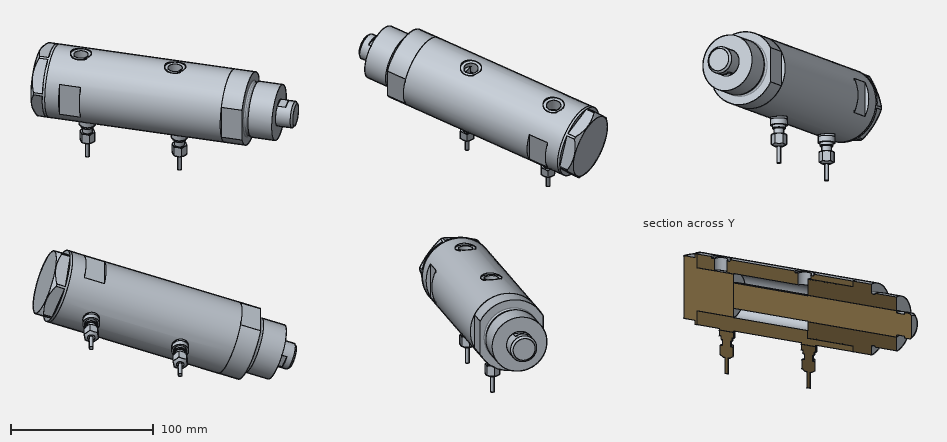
import cadquery as cq
import math


LENGTH = 186.0
BODY_RADIUS = 26.0
FLAT_SIZE = 46.0
FLAT_LENGTH = 15.0

CAP_FACE_RADIUS = 22.7
CAP_CHAMFER_LENGTH = 2.8
CAP_HEX_LENGTH = 9.1
CAP_LENGTH = 11.0
CAP_HEX_TURN = -7.5
CAP_NOSE_END = 41.0

BARREL_END = 138.2
BORE_RADIUS = 16.0
HEAD_SEAT_START = 101.4
HEAD_SEAT_RADIUS = 21.5
BARREL_FLAT_START = 21.0

PORT_POSITIONS = (30.3, 98.5)
PORT_RADIUS = 5.0
SPOTFACE_RADIUS = 7.5
SPOTFACE_DEPTH = 1.3

SENSOR_POSITIONS = (35.0, 101.8)
SENSOR_RADIUS = 6.0
BOSS_BOTTOM = 27.2
SENSOR_BODY_BOTTOM = 31.3
SENSOR_COLLAR_RADIUS = 4.7
SENSOR_COLLAR_BOTTOM = 33.9
SENSOR_CHAMFER = 0.5
SENSOR_NECK_RADIUS = 3.5
NUT_TOP = 37.8
NUT_SIZE = 9.5
NUT_CONE_TOP = 44.8
NUT_BOTTOM = 46.5
NUT_BOTTOM_RADIUS = 2.6
CABLE_RADIUS = 1.4
CABLE_BOTTOM = 58.2

COLLAR_RADIUS = 19.9
COLLAR_END = 174.0
RELIEF_RADIUS = 19.0
RELIEF_FILLET = 1.1
RELIEF_FLOOR = 1.1
RELIEF_RUNOUT_RADIUS = 0.7

ROD_RADIUS = 9.5
ROD_FLAT_SIZE = 16.4
ROD_FLAT_END = 180.0
ROD_CHAMFER = 1.5

HEAD_FLANGE_END = BARREL_END + FLAT_LENGTH


def cylinder_x(radius, start, end):
    """Solid cylinder about the X axis."""
    return cq.Workplane("YZ").workplane(offset=start).circle(radius).extrude(end - start)


def cylinder_z(radius, x, bottom, top):
    """Solid upright cylinder centred on y = 0."""
    return cq.Workplane("XY", origin=(x, 0, bottom)).circle(radius).extrude(top - bottom)


def hexagon_corners(across_flats):
    """Diameter through the corners of a regular hexagon."""
    return across_flats / math.cos(math.pi / 6)


def between_flats(body, size, start, end):
    """Cut two flats facing -Y and +Y, leaving `size` between them."""
    length = end - start
    for side in (-1, 1):
        cutter = cq.Workplane("XY").box(length, BODY_RADIUS, 2 * BODY_RADIUS)
        body = body.cut(cutter.translate((start + length / 2, side * (size + BODY_RADIUS) / 2, 0)))
    return body


def make_cap():
    """Hexagonal end cap with a round flange and a nose that plugs the bore."""
    blank = cylinder_x(BODY_RADIUS, 0, CAP_HEX_LENGTH)
    blank = blank.faces("<X").chamfer(CAP_CHAMFER_LENGTH, BODY_RADIUS - CAP_FACE_RADIUS)
    hexagon = (
        cq.Workplane("YZ")
        .polygon(6, hexagon_corners(FLAT_SIZE))
        .extrude(CAP_HEX_LENGTH)
        .rotate((0, 0, 0), (1, 0, 0), CAP_HEX_TURN)
    )
    flange = cylinder_x(BODY_RADIUS, CAP_HEX_LENGTH, CAP_LENGTH)
    nose = cylinder_x(BORE_RADIUS, CAP_LENGTH, CAP_NOSE_END)
    return blank.intersect(hexagon).union(flange).union(nose)


def make_barrel():
    """Tube with two wrench flats, two ports on top and two sensor bosses below."""
    barrel = cylinder_x(BODY_RADIUS, CAP_LENGTH, BARREL_END)
    barrel = between_flats(barrel, FLAT_SIZE, BARREL_FLAT_START, BARREL_FLAT_START + FLAT_LENGTH)
    for x in SENSOR_POSITIONS:
        barrel = barrel.union(cylinder_z(SENSOR_RADIUS, x, -BOSS_BOTTOM, 0))
    barrel = barrel.cut(cylinder_x(BORE_RADIUS, CAP_LENGTH, BARREL_END))
    barrel = barrel.cut(cylinder_x(HEAD_SEAT_RADIUS, HEAD_SEAT_START, BARREL_END))
    for x in PORT_POSITIONS:
        barrel = barrel.cut(cylinder_z(PORT_RADIUS, x, 0, BODY_RADIUS))
        barrel = barrel.cut(cylinder_z(SPOTFACE_RADIUS, x, BODY_RADIUS - SPOTFACE_DEPTH, BODY_RADIUS))
    return barrel


def make_head():
    """Rod guide: a nose in the barrel seat, a flange with wrench flats and a relieved collar."""
    nose = cylinder_x(HEAD_SEAT_RADIUS, HEAD_SEAT_START, BARREL_END)
    flange = cylinder_x(BODY_RADIUS, BARREL_END, HEAD_FLANGE_END)
    flange = between_flats(flange, FLAT_SIZE, BARREL_END, HEAD_FLANGE_END)

    floor_start = HEAD_FLANGE_END + RELIEF_FILLET
    floor_end = floor_start + RELIEF_FLOOR
    half_diagonal = math.sqrt(0.5)
    runout_x = floor_end + RELIEF_RUNOUT_RADIUS * half_diagonal
    runout_radius = RELIEF_RADIUS + RELIEF_RUNOUT_RADIUS * (1 - half_diagonal)
    collar_start = runout_x + COLLAR_RADIUS - runout_radius
    collar = (
        cq.Workplane("XY")
        .moveTo(HEAD_FLANGE_END, 0)
        .lineTo(HEAD_FLANGE_END, RELIEF_RADIUS + RELIEF_FILLET)
        .radiusArc((floor_start, RELIEF_RADIUS), -RELIEF_FILLET)
        .lineTo(floor_end, RELIEF_RADIUS)
        .radiusArc((runout_x, runout_radius), -RELIEF_RUNOUT_RADIUS)
        .lineTo(collar_start, COLLAR_RADIUS)
        .lineTo(COLLAR_END, COLLAR_RADIUS)
        .lineTo(COLLAR_END, 0)
        .close()
        .revolve(360, (0, 0, 0), (1, 0, 0))
    )
    head = nose.union(flange).union(collar)
    return head.cut(cylinder_x(ROD_RADIUS, HEAD_SEAT_START, COLLAR_END))


def make_rod():
    """Piston rod, chamfered at the tip, with two flats facing up and down."""
    rod = cylinder_x(ROD_RADIUS, CAP_NOSE_END, LENGTH).faces(">X").chamfer(ROD_CHAMFER)
    flat_length = ROD_FLAT_END - COLLAR_END
    for side in (-1, 1):
        cutter = cq.Workplane("XY").box(flat_length, 2 * ROD_RADIUS, ROD_RADIUS)
        height = side * (ROD_FLAT_SIZE + ROD_RADIUS) / 2
        rod = rod.cut(cutter.translate((COLLAR_END + flat_length / 2, 0, height)))
    return rod


def make_sensor(x):
    """Sensor below a boss: stepped body, hexagonal nut and cable."""
    body = cylinder_z(SENSOR_RADIUS, x, -SENSOR_BODY_BOTTOM, -BOSS_BOTTOM)
    collar = cylinder_z(SENSOR_COLLAR_RADIUS, x, -SENSOR_COLLAR_BOTTOM, -SENSOR_BODY_BOTTOM)
    collar = collar.faces("<Z").chamfer(SENSOR_CHAMFER)
    neck = cylinder_z(SENSOR_NECK_RADIUS, x, -NUT_TOP, -SENSOR_COLLAR_BOTTOM)
    cable = cylinder_z(CABLE_RADIUS, x, -CABLE_BOTTOM, -NUT_BOTTOM)

    corner_radius = hexagon_corners(NUT_SIZE) / 2
    hexagon = (
        cq.Workplane("XY", origin=(x, 0, -NUT_BOTTOM))
        .polygon(6, hexagon_corners(NUT_SIZE))
        .extrude(NUT_BOTTOM - NUT_TOP)
    )
    nut_envelope = (
        cq.Workplane("XZ", origin=(x, 0, 0))
        .moveTo(0, -NUT_TOP)
        .lineTo(corner_radius - SENSOR_CHAMFER, -NUT_TOP)
        .lineTo(corner_radius, -NUT_TOP - SENSOR_CHAMFER)
        .lineTo(corner_radius, -NUT_CONE_TOP)
        .lineTo(NUT_BOTTOM_RADIUS, -NUT_BOTTOM)
        .lineTo(0, -NUT_BOTTOM)
        .close()
        .revolve(360, (0, 0, 0), (0, 1, 0))
    )
    nut = hexagon.intersect(nut_envelope)
    return body.union(collar).union(neck).union(nut).union(cable)


cap = make_cap()
barrel = make_barrel()
head = make_head()
rod = make_rod()
sensors = [make_sensor(x) for x in SENSOR_POSITIONS]

bodies = [body.solids().val() for body in (cap, barrel, head, rod, *sensors)]

result = cq.Compound.makeCompound(bodies)